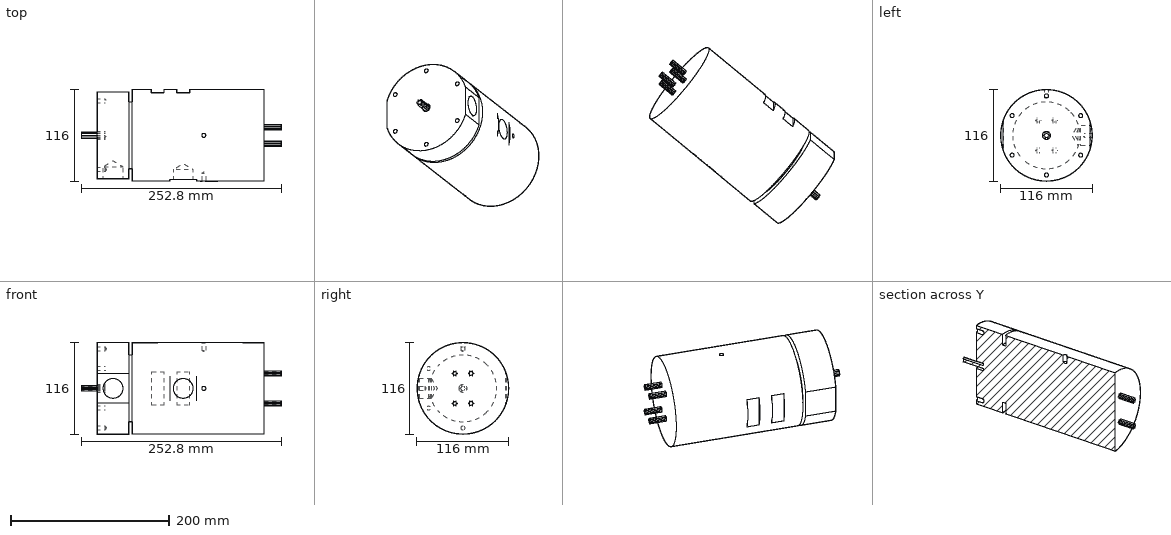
import cadquery as cq
import math

HEAD_START = 20.0
HEAD_END = 60.0
BODY_START = 64.2
BODY_END = 230.8
TOTAL_LENGTH = 252.8

BODY_DIAMETER = 116.0
BODY_RADIUS = BODY_DIAMETER / 2
NECK_DIAMETER = 85.0

HEAD_ACROSS_FLATS = 110.0
FRONT_FLAT_LENGTH = 34.0
FRONT_FLAT_Y = -56.0
REAR_FLAT_LENGTH = 16.0
REAR_FLAT_Y = 54.0

PORT_DIAMETER = 25.0
HEAD_PORT_DEPTH = 15.2
BODY_PORT_DEPTH = 12.6
HEAD_PORT_X = (HEAD_START + HEAD_END) / 2
BODY_PORT_X = 128.7
REAR_FLATS_X = (96.3, BODY_PORT_X)

DRILL_POINT_ANGLE = 118
SCREW_HOLE_DIAMETER = 5.0
SCREW_HOLE_DEPTH = 10.0
SCREW_CIRCLE_RADIUS = 50.0
SCREW_COUNT = 6
RADIAL_HOLE_X = 154.7

STAR_POINTS = 6
PIN_BORE_DIAMETER = 10.0
PIN_BORE_DEPTH = 10.0
HEAD_PIN_DIAMETER = 8.3
BODY_PIN_DIAMETER = 7.0
BODY_PIN_Y = 10.4
BODY_PIN_Z = 19.0


def bar(x_start, x_end, diameter):
    """Round bar along the X axis between two stations."""
    section = cq.Workplane("YZ", origin=(x_start, 0, 0))
    return section.circle(diameter / 2).extrude(x_end - x_start)


def ring_points(radius, count, start_angle):
    """Evenly spaced (y, z) points on a circle."""
    angles = [math.radians(start_angle + 360 * i / count) for i in range(count)]
    return [(radius * math.cos(a), radius * math.sin(a)) for a in angles]


def star_pin(x_start, x_end, tip_diameter, centre=(0, 0)):
    """Pin along X with a regular star section whose first tip points to +Y."""
    tips = ring_points(tip_diameter / 2, STAR_POINTS, 0)
    valley_radius = tip_diameter / 2 / math.sqrt(3)
    valleys = ring_points(valley_radius, STAR_POINTS, 180 / STAR_POINTS)
    outline = []
    for tip, valley in zip(tips, valleys):
        outline += [tip, valley]
    section = cq.Workplane("YZ", origin=(x_start, 0, 0)).center(*centre)
    return section.polyline(outline).close().extrude(x_end - x_start)


def drilled_hole(mouth, direction, diameter, depth):
    """Cutter for a blind hole with a conical drill point."""
    radius = diameter / 2
    point_length = radius / math.tan(math.radians(DRILL_POINT_ANGLE / 2))
    start = cq.Vector(*mouth)
    axis = cq.Vector(*direction)
    shank = cq.Solid.makeCylinder(radius, depth, start, axis)
    point = cq.Solid.makeCone(radius, 0, point_length, start + axis * depth, axis)
    return cq.Workplane(shank.fuse(point))


def flat_cutter(x_centre, length, flat_y):
    """Block that removes everything outside the plane y = flat_y."""
    side = math.copysign(1, flat_y)
    block = cq.Workplane("XY").box(length, BODY_RADIUS, BODY_DIAMETER)
    return block.translate((x_centre, flat_y + side * BODY_RADIUS / 2, 0))


head = bar(HEAD_START, HEAD_END, BODY_DIAMETER)
neck = bar(HEAD_END, BODY_START, NECK_DIAMETER)
body = bar(BODY_START, BODY_END, BODY_DIAMETER)

head_flat_y = HEAD_ACROSS_FLATS / 2
for flat_y in (-head_flat_y, head_flat_y):
    head = head.cut(flat_cutter(HEAD_PORT_X, HEAD_END - HEAD_START, flat_y))

body = body.cut(flat_cutter(BODY_PORT_X, FRONT_FLAT_LENGTH, FRONT_FLAT_Y))
for x in REAR_FLATS_X:
    body = body.cut(flat_cutter(x, REAR_FLAT_LENGTH, REAR_FLAT_Y))

part = head.union(neck).union(body)

ports = (
    (HEAD_PORT_X, -head_flat_y, HEAD_PORT_DEPTH),
    (BODY_PORT_X, FRONT_FLAT_Y, BODY_PORT_DEPTH),
)
for x, y, depth in ports:
    part = part.cut(drilled_hole((x, y, 0), (0, 1, 0), PORT_DIAMETER, depth))

for y, z in ring_points(SCREW_CIRCLE_RADIUS, SCREW_COUNT, 90):
    hole = drilled_hole((HEAD_START, y, z), (1, 0, 0), SCREW_HOLE_DIAMETER, SCREW_HOLE_DEPTH)
    part = part.cut(hole)

for outward in ((0, -1, 0), (0, 0, 1)):
    axis = cq.Vector(*outward)
    mouth = cq.Vector(RADIAL_HOLE_X, 0, 0) + axis * BODY_RADIUS
    inward = (-axis).toTuple()
    part = part.cut(drilled_hole(mouth.toTuple(), inward, SCREW_HOLE_DIAMETER, SCREW_HOLE_DEPTH))

bore_floor = HEAD_START + PIN_BORE_DEPTH
part = part.cut(bar(HEAD_START, bore_floor, PIN_BORE_DIAMETER))
part = part.union(star_pin(0, bore_floor, HEAD_PIN_DIAMETER))

for y in (-BODY_PIN_Y, BODY_PIN_Y):
    for z in (-BODY_PIN_Z, BODY_PIN_Z):
        part = part.union(star_pin(BODY_END, TOTAL_LENGTH, BODY_PIN_DIAMETER, (y, z)))

result = part